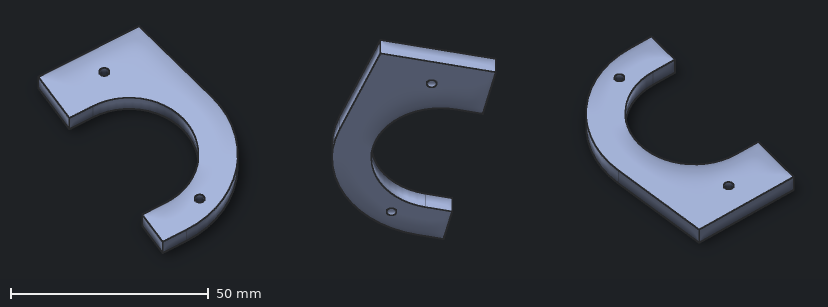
import cadquery as cq
import math

length = 60.0
thickness = 5.0
outer_radius = 27.5
inner_radius = 17.5
straight_height = 7.0
left_edge_height = 30.0
hole_diameter = 2.5
hole_height = 15.0
left_hole_inset = 7.5
right_hole_inset = 6.5

center_x = length - outer_radius
center_y = straight_height


def point_on_arc(radius, angle):
    """Point on a circle about the shared arc centre, angle in radians."""
    return (center_x + radius * math.cos(angle), center_y + radius * math.sin(angle))


corner_rise = left_edge_height - center_y
corner_distance = math.hypot(center_x, corner_rise)
corner_angle = math.atan2(corner_rise, -center_x)
tangent_angle = corner_angle - math.acos(outer_radius / corner_distance)

plate = (
    cq.Workplane("XY")
    .moveTo(0, 0)
    .lineTo(0, left_edge_height)
    .lineTo(*point_on_arc(outer_radius, tangent_angle))
    .threePointArc(point_on_arc(outer_radius, tangent_angle / 2), (length, center_y))
    .lineTo(length, 0)
    .lineTo(center_x + inner_radius, 0)
    .lineTo(center_x + inner_radius, center_y)
    .threePointArc(
        point_on_arc(inner_radius, math.pi / 2),
        (center_x - inner_radius, center_y),
    )
    .lineTo(center_x - inner_radius, 0)
    .close()
    .extrude(thickness)
)

hole_centers = [
    (left_hole_inset, hole_height),
    (length - right_hole_inset, hole_height),
]
holes = (
    cq.Workplane("XY")
    .pushPoints(hole_centers)
    .circle(hole_diameter / 2)
    .extrude(thickness)
)

result = plate.cut(holes)